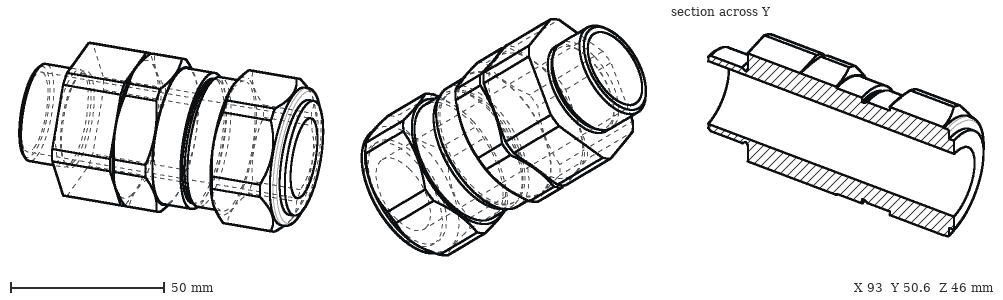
import cadquery as cq

total_length = 93.05
hex_across_flats = 46.0
hex_corner_diameter = 50.6
hex_turn = 30
bore_diameter = 26.4

entry_thread_end = 14.2
plain_hex_start = 15.0
plain_hex_end = 34.9
crowned_hex_end = 48.7
collar_end = 58.25
groove_end = 59.1
nut_start = 68.7
nut_hex_end = 89.2
nut_end = 91.3

thread_radius = 16.1
thread_chamfer = 1.0
thread_runout = 1.3
undercut_radius = thread_radius - thread_chamfer
collar_radius = 22.5
groove_radius = 20.7
body_radius = 21.5
body_chamfer_length = 1.2
nut_lip_radius = 22.8
nut_lip_fillet = 0.9
seal_radius = 19.0

corner_radius = hex_corner_diameter / 2
crown_radius = 22.8
crown_length = 1.5
nut_crown_length = corner_radius - nut_lip_radius


def revolve_profile(points):
    """Revolve (x, radius) points, closed along the X axis, into a solid."""
    first_x = points[0][0]
    last_x = points[-1][0]
    outline = [(first_x, 0), *points, (last_x, 0)]
    return cq.Workplane("XY").polyline(outline).close().revolve(360, (0, 0), (1, 0))


def hex_prism(start, end):
    """Hexagonal bar along X with two flats facing +Z and -Z."""
    return (
        cq.Workplane("YZ")
        .workplane(offset=start)
        .transformed(rotate=(0, 0, hex_turn))
        .polygon(6, hex_across_flats, circumscribed=True)
        .extrude(end - start)
    )


def turned_hex(start, end, front_crown=0, back_crown=0):
    """Hexagon with rounded corners; a nonzero crown length adds a cone at that end."""
    envelope = [(start, crown_radius if front_crown else corner_radius)]
    if front_crown:
        envelope.append((start + front_crown, corner_radius))
    envelope.append((end - back_crown, corner_radius))
    if back_crown:
        envelope.append((end, crown_radius))
    return hex_prism(start, end).intersect(revolve_profile(envelope))


core = revolve_profile([
    (0, thread_radius - thread_chamfer),
    (thread_chamfer, thread_radius),
    (entry_thread_end - thread_runout, thread_radius),
    (entry_thread_end, undercut_radius),
    (plain_hex_start, thread_radius),
    (plain_hex_end, thread_radius),
    (plain_hex_end, collar_radius),
    (collar_end, collar_radius),
    (collar_end, groove_radius),
    (groove_end, groove_radius),
    (groove_end + body_chamfer_length, body_radius),
    (nut_start, body_radius),
    (nut_start, seal_radius),
    (total_length, seal_radius),
])

plain_hex = turned_hex(plain_hex_start, plain_hex_end)
crowned_hex = turned_hex(plain_hex_end, crowned_hex_end, crown_length, crown_length)
nut_hex = turned_hex(nut_start, nut_hex_end, crown_length, nut_crown_length)

nut_lip = (
    cq.Workplane("YZ")
    .workplane(offset=nut_hex_end)
    .circle(nut_lip_radius)
    .extrude(nut_end - nut_hex_end)
    .faces(">X")
    .edges()
    .fillet(nut_lip_fillet)
)

bore = cq.Workplane("YZ").circle(bore_diameter / 2).extrude(total_length)

result = core.union(plain_hex).union(crowned_hex).union(nut_hex).union(nut_lip).cut(bore)